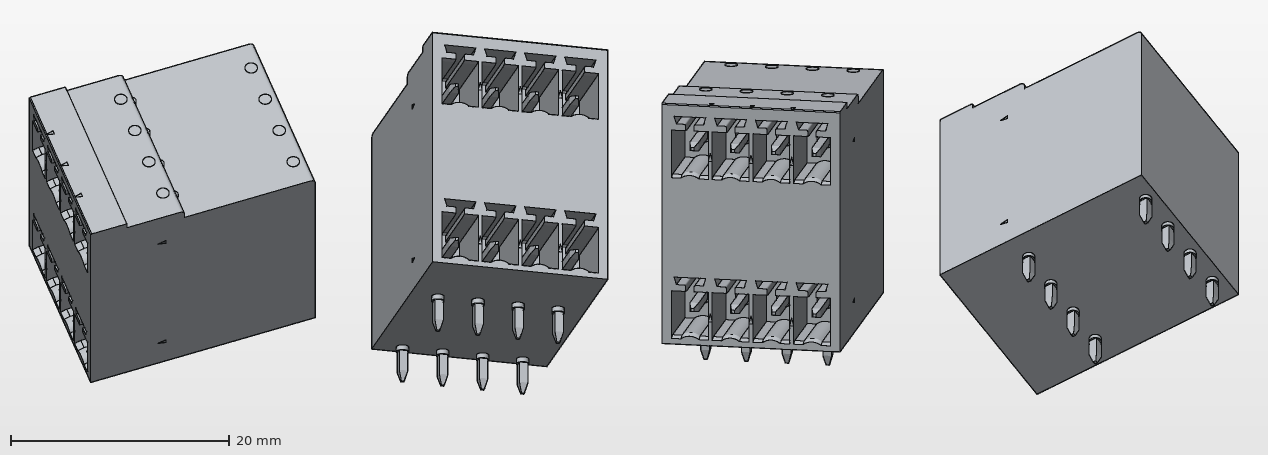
import cadquery as cq


width = 16.65
depth = 21.9
total_height = 26.2
solder_length = 3.4
height = total_height - solder_length
front_step_depth = 3.56
middle_step_depth = 9.17
middle_step_drop = 0.6
rear_step_drop = 1.57
middle_level = height - middle_step_drop
rear_level = height - rear_step_drop
back_edge_radius = 0.5
step_edge_radius = 0.15
front_edge_chamfer = 0.1

columns = 4
pitch = 3.8
tier_pitch = 15.25
lower_axis = 3.0
column_xs = [(i - (columns - 1) / 2) * pitch for i in range(columns)]
gap_xs = [(i - columns / 2) * pitch for i in range(1, columns)]
tier_zs = [lower_axis, lower_axis + tier_pitch]
front_row_y = 8.0
rear_row_y = 20.7

pocket_width = 3.43
pocket_depth = 6.8
pocket_top = 1.96
pocket_bottom = -2.28
lead_in_depth = 0.6
lead_in_top = 0.08
lead_in_bottom = 0.196
rib_half_width = 0.85
rib_height = 0.3

slot_top = 3.35
slot_bottom = 2.65
slot_top_width = 2.95
slot_bottom_width = 2.52
neck_width = 0.79
neck_radius = 0.15

pin_size = 0.8
pin_tip_size = 0.3
pin_tip_length = 0.95
pin_recess = 1.23
collar_diameter = 1.15
collar_height = 0.47
seat_diameter = 1.57
seat_height = 0.08
first_seat_flat = 0.47

mark_width = 0.4
mark_length = 0.75
side_mark_y = 6.58
engraving_depth = 0.03
lug_radius = 0.45
lug_protrusion = 0.3
lug_height = 0.24


def make_housing():
    profile = [
        (0, 0),
        (depth, 0),
        (depth, rear_level),
        (middle_step_depth, rear_level),
        (middle_step_depth, middle_level),
        (front_step_depth, middle_level),
        (front_step_depth, height),
        (0, height),
    ]
    block = cq.Workplane("YZ").polyline(profile).close().extrude(width / 2, both=True)

    def edge_at(y, z):
        return cq.selectors.NearestToPointSelector((0, y, z))

    block = block.edges(edge_at(depth, rear_level)).fillet(back_edge_radius)
    block = block.edges(edge_at(middle_step_depth, middle_level)).fillet(back_edge_radius)
    block = block.edges(edge_at(front_step_depth, height)).fillet(step_edge_radius)
    return block.edges(edge_at(0, height)).chamfer(front_edge_chamfer)


def facing_front(x, y, z):
    """Workplane at (x, y, z) whose normal points into the housing (+Y).

    Local X runs along -X and local Y along +Z.
    """
    return cq.Workplane(cq.Plane((x, y, z), xDir=(-1, 0, 0), normal=(0, 1, 0)))


def pocket_outline(plane, top, bottom):
    """Pocket cross-section with an arched rib along the floor."""
    side = pocket_width / 2
    return (
        plane.moveTo(-side, top)
        .lineTo(-side, bottom)
        .lineTo(-rib_half_width, bottom)
        .threePointArc((0, bottom + rib_height), (rib_half_width, bottom))
        .lineTo(side, bottom)
        .lineTo(side, top)
        .close()
    )


def make_pocket(x, z):
    """Plug pocket whose roof and floor flare outwards at the mouth."""
    front = facing_front(x, 0, z)
    cavity = pocket_outline(front, pocket_top, pocket_bottom).extrude(pocket_depth)
    mouth = pocket_outline(front, pocket_top + lead_in_top, pocket_bottom - lead_in_bottom)
    inner_end = mouth.workplane(offset=lead_in_depth)
    lead_in = pocket_outline(inner_end, pocket_top, pocket_bottom).loft(ruled=True)
    return cavity.union(lead_in)


def make_latch_slot(x, z):
    """Trapezoidal slot joined to the pocket by a neck."""
    trapezoid = [
        (-slot_bottom_width / 2, slot_bottom),
        (slot_bottom_width / 2, slot_bottom),
        (slot_top_width / 2, slot_top),
        (-slot_top_width / 2, slot_top),
    ]
    slot = facing_front(x, 0, z).polyline(trapezoid).close().extrude(front_row_y)
    neck_height = slot_bottom - pocket_top
    neck = (
        facing_front(x, 0, z)
        .center(0, pocket_top + neck_height / 2)
        .rect(neck_width, neck_height)
        .extrude(pocket_depth)
    )
    joined = slot.union(neck)
    for side in (-1, 1):
        corner = cq.selectors.NearestToPointSelector(
            (x + side * neck_width / 2, pocket_depth / 2, z + slot_bottom)
        )
        joined = joined.edges(corner).fillet(neck_radius)
    return joined


def make_pin(base, length):
    """Square pin with a tapered tip, extruded along the normal of base."""
    shaft = base.rect(pin_size, pin_size).extrude(length - pin_tip_length)
    tip = (
        base.workplane(offset=length - pin_tip_length)
        .rect(pin_size, pin_size)
        .workplane(offset=pin_tip_length)
        .rect(pin_tip_size, pin_tip_size)
        .loft()
    )
    return shaft.union(tip)


def make_contact(x, z):
    """Contact pin on the pocket's back wall, with its round seat."""
    back = cq.Workplane("XZ", origin=(x, pocket_depth, z))
    seat = back.circle(seat_diameter / 2).extrude(seat_height)
    if x == column_xs[0]:
        kept = back.center(seat_diameter / 2 - first_seat_flat, 0)
        seat = seat.intersect(kept.rect(seat_diameter, seat_diameter).extrude(seat_height))
    return seat.union(make_pin(back, pocket_depth - pin_recess))


def make_solder_pin(x, y):
    underside = cq.Workplane("XY", origin=(x, y, 0)).transformed(rotate=(180, 0, 0))
    collar = underside.circle(collar_diameter / 2).extrude(collar_height)
    return collar.union(make_pin(underside, solder_length))


def make_mark(plane):
    """Engraved triangle with its apex at the plane's origin, base along local -Y."""
    corners = [(0, 0), (mark_width / 2, -mark_length), (-mark_width / 2, -mark_length)]
    return plane.polyline(corners).close().extrude(engraving_depth)


def make_lug(x):
    """Low round lug at the foot of the middle step's back wall."""
    centre_y = middle_step_depth + lug_protrusion - lug_radius
    lug = cq.Workplane("XY", origin=(x, centre_y, rear_level)).circle(lug_radius)
    return lug.extrude(lug_height)


result = make_housing()

for x in column_xs:
    for z in tier_zs:
        result = result.cut(make_pocket(x, z)).cut(make_latch_slot(x, z))
        result = result.union(make_contact(x, z))

for x in column_xs:
    result = result.union(make_lug(x))
    for y, level in ((front_row_y, middle_level), (rear_row_y, rear_level)):
        disc = cq.Workplane("XY", origin=(x, y, level - engraving_depth))
        result = result.cut(disc.circle(collar_diameter / 2).extrude(engraving_depth))
        result = result.union(make_solder_pin(x, y))

for x in gap_xs:
    top_plane = cq.Plane((x, 0, height), xDir=(1, 0, 0), normal=(0, 0, -1))
    result = result.cut(make_mark(cq.Workplane(top_plane)))
    for z in tier_zs:
        result = result.cut(make_mark(facing_front(x, 0, z)))

for side in (-1, 1):
    for z in tier_zs:
        apex = (side * width / 2, side_mark_y, z)
        side_plane = cq.Plane(apex, xDir=(0, 0, -side), normal=(-side, 0, 0))
        result = result.cut(make_mark(cq.Workplane(side_plane)))